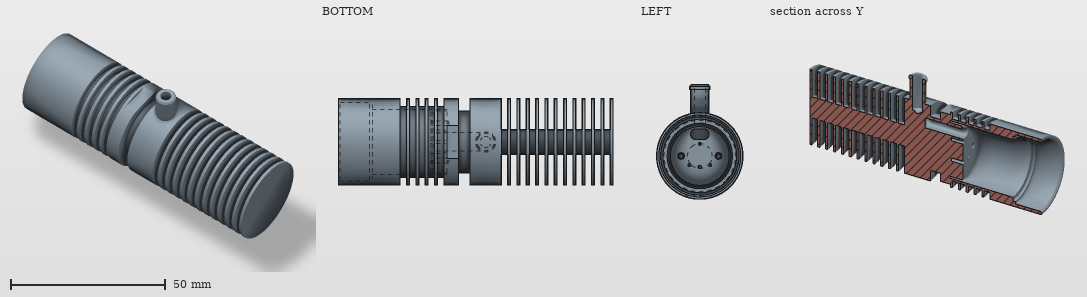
import cadquery as cq
import math

total_length = 88.8
total_height = 37.0
outer_diameter = 28.0
outer_radius = outer_diameter / 2

fin_thickness = 1.0
rear_fin_count = 12
front_fin_count = 5
first_rear_fin_x = 54.7
first_front_fin_x = 22.0
fin_pitch = (total_length - fin_thickness - first_rear_fin_x) / (rear_fin_count - 1)
last_front_fin_x = first_front_fin_x + (front_fin_count - 1) * fin_pitch

sleeve_end_x = 20.0
groove_radius = 11.5
collar_start_x = last_front_fin_x + fin_thickness
collar_end_x = 38.9
collar_across_flats = 25.8
neck_radius = 10.0
block_start_x = 42.5
block_end_x = 52.6
rod_radius = 4.0

mouth_bore_radius = 12.7
mouth_chamfer = 0.5
mouth_bore_depth = 10.0
step_bore_radius = 11.9
step_bore_depth = 11.0
main_bore_radius = 10.6

face_x = 30.0
face_chamfer = 0.5

pipe_x = (block_start_x + block_end_x) / 2
pipe_diameter = 5.95
pipe_radius = pipe_diameter / 2
pipe_top_z = total_height - outer_radius
pipe_lip_radius = 3.3
pipe_lip_height = 1.5
pipe_lip_chamfer = 0.5
pipe_bore_radius = 1.8
pipe_bore_depth = 12.4

slot_centre_z = 7.0
slot_height = 3.5
slot_width = pipe_diameter

drill_half_angle = math.radians(59)
socket_positions = [(-6.0, 0), (6.0, 0)]
socket_radius = 0.8
socket_chamfer = 0.3
socket_depth = 5.3
pin_positions = [(0, 3.9), (-3.4, -2.9), (3.4, -2.9)]
pin_radius = 0.4
key_pin_position = (0, -3.55)
key_pin_radius = 0.5
pin_depth = 4.4


def disc(start_x, end_x, radius):
    """Solid round section of the body between two stations on the X axis."""
    return cq.Workplane("YZ", origin=(start_x, 0, 0)).circle(radius).extrude(end_x - start_x)


def flare(start_x, radius, chamfer):
    """Cone that narrows to the given radius, chamfering the mouth of a bore along X."""
    wide_end = cq.Workplane("YZ", origin=(start_x, 0, 0)).circle(radius + chamfer)
    return wide_end.workplane(offset=chamfer).circle(radius).loft()


def fins(first_x, count):
    """Row of equally spaced fin discs."""
    starts = [(first_x + index * fin_pitch, 0, 0) for index in range(count)]
    fin = disc(0, fin_thickness, outer_radius).val()
    return cq.Workplane("XY").newObject([fin.translate(cq.Vector(start)) for start in starts])


def collar():
    """Round collar with a wrench flat above and below."""
    length = collar_end_x - collar_start_x
    flats = cq.Workplane("XY").box(length, outer_diameter, collar_across_flats)
    flats = flats.translate((collar_start_x + length / 2, 0, 0))
    return disc(collar_start_x, collar_end_x, outer_radius).intersect(flats)


def sleeve_bore():
    """Stepped bore reaching back to the collar, with a chamfered mouth."""
    bore = disc(0, mouth_bore_depth, mouth_bore_radius)
    bore = bore.union(disc(0, step_bore_depth, step_bore_radius))
    bore = bore.union(disc(0, collar_start_x, main_bore_radius))
    return bore.union(flare(0, mouth_bore_radius, mouth_chamfer))


def drill(radius, depth):
    """Drilled hole running down from the origin, with a conical bottom."""
    tip_depth = depth + radius / math.tan(drill_half_angle)
    profile = cq.Workplane("XZ").polyline([(0, 0), (radius, 0), (radius, -depth), (0, -tip_depth)])
    return profile.close().revolve(360, (0, 0, 0), (0, 1, 0))


def pipe():
    """Upright pipe with a lip at its top, rooted on the axis of the body."""
    stem = cq.Workplane("XY").circle(pipe_radius).extrude(pipe_top_z - pipe_lip_height)
    lip = cq.Workplane("XY").circle(pipe_lip_radius).extrude(pipe_lip_height)
    lip = lip.faces(">Z").chamfer(pipe_lip_chamfer)
    lip = lip.translate((0, 0, pipe_top_z - pipe_lip_height))
    return stem.union(lip).translate((pipe_x, 0, 0))


def face_holes(positions, radius, depth):
    """Flat-bottomed round holes going into the connector face."""
    return cq.Workplane("YZ", origin=(face_x, 0, 0)).pushPoints(positions).circle(radius).extrude(depth)


def socket(y, z):
    """Countersunk drilled hole in the connector face."""
    hole = drill(socket_radius, socket_depth).rotate((0, 0, 0), (0, 1, 0), -90)
    hole = hole.union(flare(0, socket_radius, socket_chamfer))
    return hole.translate((face_x, y, z))


body = disc(0, sleeve_end_x, outer_radius)
body = body.union(disc(sleeve_end_x, collar_start_x, groove_radius))
body = body.union(fins(first_front_fin_x, front_fin_count))
body = body.union(collar())
body = body.cut(sleeve_bore())

body = body.union(disc(face_x, block_start_x, neck_radius).faces("<X").chamfer(face_chamfer))
body = body.union(disc(block_start_x, block_end_x, outer_radius))
body = body.union(disc(block_end_x, total_length, rod_radius))
body = body.union(fins(first_rear_fin_x, rear_fin_count))

slot = cq.Workplane("YZ", origin=(face_x, 0, slot_centre_z)).slot2D(slot_width, slot_height)
body = body.cut(slot.extrude(pipe_x - face_x))
body = body.union(pipe())
body = body.cut(drill(pipe_bore_radius, pipe_bore_depth).translate((pipe_x, 0, pipe_top_z)))

body = body.cut(face_holes(pin_positions, pin_radius, pin_depth))
body = body.cut(face_holes([key_pin_position], key_pin_radius, pin_depth))
for y, z in socket_positions:
    body = body.cut(socket(y, z))

result = body